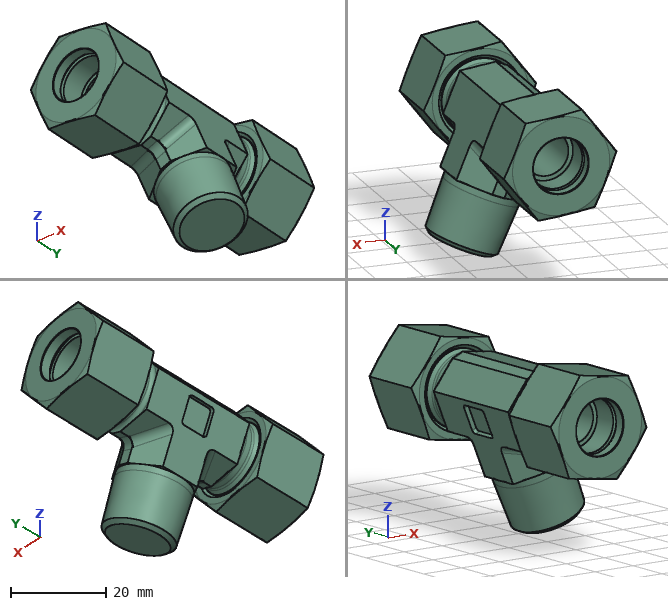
import cadquery as cq
import math

TURN_ANGLE = -22.5

BAR_FLATS = 17.0
BAR_HEIGHT = 18.0
RUN_HALF_LENGTH = 13.0
BRANCH_LENGTH = 14.4
CROTCH_RADIUS = 2.0

BORE_DIA = 10.0
THREAD_DIA = 17.15
THREAD_END = 23.05
NECK_DIA = 15.7
NECK_FILLET = 0.95
NECK_LENGTH = 1.35
RUNOUT_RADIUS = 1.2
RUNOUT_ANGLE = math.radians(30)

STUD_DIA = 17.15
STUD_TIP_DIA = 16.4
STUD_END_DIA = 14.3
STUD_COLLAR_LENGTH = 1.5
STUD_CHAMFER_LENGTH = 0.95
STUD_END = 28.0

RECESS_SIDE = 7.0
RECESS_CORNER_RADIUS = 0.8
RECESS_DEPTH = 1.15

FITTING_LENGTH = 64.0
NUT_FLATS = 22.0
NUT_LENGTH = 15.4
NUT_FACE_DIA = 21.75
NUT_CHAMFER_LENGTH = 0.45
NUT_HOLE_DIA = 12.3
NUT_HOLE_CHAMFER = 0.1
NUT_HOLE_DEPTH = 2.5
MOUTH_DIA = 18.7

TUBE_DIA = 12.0
RING_FACE_DEPTH = 3.3

NUT_OUTER_Y = FITTING_LENGTH / 2
NUT_INNER_Y = NUT_OUTER_Y - NUT_LENGTH
SEAT_END_Y = NUT_OUTER_Y - NUT_HOLE_DEPTH
RING_FACE_Y = NUT_OUTER_Y - RING_FACE_DEPTH
RUN_AXIS = ((0, 0, 0), (0, 1, 0))


def hexagon_corners(flats):
    """Corner-to-corner size of a hexagon."""
    return flats / math.cos(math.pi / 6)


def bar_points():
    """Hexagon with flats on its left and right, top and bottom corners cut flat."""
    flat_x = BAR_FLATS / 2
    side_y = hexagon_corners(BAR_FLATS) / 4
    top_y = BAR_HEIGHT / 2
    top_x = (hexagon_corners(BAR_FLATS) / 2 - top_y) * math.tan(math.pi / 3)
    right_half = [(top_x, -top_y), (flat_x, -side_y), (flat_x, side_y), (top_x, top_y)]
    left_half = [(-x, -y) for x, y in right_half]
    return right_half + left_half


def run_bar(half_length):
    return cq.Workplane("XZ").polyline(bar_points()).close().extrude(half_length, both=True)


def cylinder_along_run(diameter, start_y, end_y):
    return cq.Workplane("XZ", origin=(0, start_y, 0)).circle(diameter / 2).extrude(start_y - end_y)


def mirrored(body):
    """The same body at the -Y end of the run."""
    return body.mirror("XZ")


def tee_bars():
    """Run and branch bars joined, with rounded inner corners between them."""
    branch = cq.Workplane("XY").polyline(bar_points()).close().extrude(-BRANCH_LENGTH)
    bars = run_bar(RUN_HALF_LENGTH).union(branch)
    corner_low = hexagon_corners(BAR_FLATS) / 4
    corner_high = BAR_HEIGHT / 2
    margin = 0.05
    for side in (-1, 1):
        near = side * (corner_low + margin)
        far = side * (corner_high + margin)
        corner_box = cq.selectors.BoxSelector(
            (-BAR_FLATS, near, -corner_low - margin), (BAR_FLATS, far, -corner_high - margin)
        )
        bars = bars.edges(corner_box).fillet(CROTCH_RADIUS)
    return bars


def threaded_end():
    """Neck and thread cylinder at the +Y end, rounded into the end of the run bar."""
    neck_r = NECK_DIA / 2
    thread_r = THREAD_DIA / 2
    fillet_end_y = RUN_HALF_LENGTH + NECK_FILLET
    neck_end_y = fillet_end_y + NECK_LENGTH
    runout_r = neck_r + RUNOUT_RADIUS * (1 - math.cos(RUNOUT_ANGLE))
    runout_y = neck_end_y + RUNOUT_RADIUS * math.sin(RUNOUT_ANGLE)
    runout_mid_r = neck_r + RUNOUT_RADIUS * (1 - math.cos(RUNOUT_ANGLE / 2))
    runout_mid_y = neck_end_y + RUNOUT_RADIUS * math.sin(RUNOUT_ANGLE / 2)
    thread_y = runout_y + (thread_r - runout_r) / math.tan(RUNOUT_ANGLE)
    fillet_mid = NECK_FILLET * (1 - math.sqrt(0.5))
    end = (
        cq.Workplane("XY")
        .moveTo(0, RUN_HALF_LENGTH)
        .lineTo(neck_r + NECK_FILLET, RUN_HALF_LENGTH)
        .threePointArc((neck_r + fillet_mid, RUN_HALF_LENGTH + fillet_mid), (neck_r, fillet_end_y))
        .lineTo(neck_r, neck_end_y)
        .threePointArc((runout_mid_r, runout_mid_y), (runout_r, runout_y))
        .lineTo(thread_r, thread_y)
        .lineTo(thread_r, THREAD_END)
        .lineTo(0, THREAD_END)
        .close()
        .revolve(360, *RUN_AXIS)
    )
    fillet_zone = cylinder_along_run(2 * BAR_FLATS, RUN_HALF_LENGTH, fillet_end_y)
    return end.cut(fillet_zone.cut(run_bar(THREAD_END)))


def stud():
    """Tapered stud below the branch, chamfered at its tip."""
    collar_z = -(BRANCH_LENGTH + STUD_COLLAR_LENGTH)
    tip_z = STUD_CHAMFER_LENGTH - STUD_END
    outline = [
        (0, -BRANCH_LENGTH),
        (STUD_DIA / 2, -BRANCH_LENGTH),
        (STUD_DIA / 2, collar_z),
        (STUD_TIP_DIA / 2, tip_z),
        (STUD_END_DIA / 2, -STUD_END),
        (0, -STUD_END),
    ]
    return cq.Workplane("XZ").polyline(outline).close().revolve(360, (0, 0, 0), (0, 1, 0))


def flat_recess():
    return (
        cq.Workplane("YZ", origin=(-BAR_FLATS / 2, 0, 0))
        .rect(RECESS_SIDE, RECESS_SIDE)
        .extrude(RECESS_DEPTH)
        .edges("|X")
        .fillet(RECESS_CORNER_RADIUS)
    )


def make_tee():
    end = threaded_end()
    tee = tee_bars().union(stud()).union(end).union(mirrored(end))
    tee = tee.cut(flat_recess())
    return tee.cut(cylinder_along_run(BORE_DIA, -THREAD_END, THREAD_END))


def nut_cavity():
    """Bore of the nut at the +Y end: 45 degree mouth, thread hole, 45 degree seat and outer hole."""
    mouth_r = MOUTH_DIA / 2
    thread_r = THREAD_DIA / 2
    hole_r = NUT_HOLE_DIA / 2
    mouth_length = mouth_r - thread_r
    seat_length = thread_r - hole_r
    outline = [
        (0, NUT_INNER_Y),
        (mouth_r, NUT_INNER_Y),
        (thread_r, NUT_INNER_Y + mouth_length),
        (thread_r, SEAT_END_Y - seat_length),
        (hole_r, SEAT_END_Y),
        (hole_r, NUT_OUTER_Y - NUT_HOLE_CHAMFER),
        (hole_r + NUT_HOLE_CHAMFER, NUT_OUTER_Y),
        (0, NUT_OUTER_Y),
    ]
    return cq.Workplane("XY").polyline(outline).close().revolve(360, *RUN_AXIS)


def make_nut():
    """Hexagon nut at the +Y end, both ends chamfered."""
    corner_r = hexagon_corners(NUT_FLATS) / 2
    face_r = NUT_FACE_DIA / 2
    hexagon = (
        cq.Workplane("XZ", origin=(0, NUT_INNER_Y, 0))
        .transformed(rotate=(0, 0, 30))
        .polygon(6, 2 * corner_r)
        .extrude(-NUT_LENGTH)
    )
    chamfer_outline = [
        (0, NUT_INNER_Y),
        (face_r, NUT_INNER_Y),
        (corner_r, NUT_INNER_Y + NUT_CHAMFER_LENGTH),
        (corner_r, NUT_OUTER_Y - NUT_CHAMFER_LENGTH),
        (face_r, NUT_OUTER_Y),
        (0, NUT_OUTER_Y),
    ]
    chamfer_shape = cq.Workplane("XY").polyline(chamfer_outline).close().revolve(360, *RUN_AXIS)
    return hexagon.intersect(chamfer_shape).cut(nut_cavity())


def make_ring():
    """Ring at the +Y end, filling the nut between the tee and the seat of the nut."""
    ring_space = nut_cavity().intersect(cylinder_along_run(2 * THREAD_DIA, THREAD_END, RING_FACE_Y))
    return ring_space.cut(cylinder_along_run(TUBE_DIA, THREAD_END, RING_FACE_Y))


bodies = [make_tee()]
for make_body in (make_nut, make_ring):
    body = make_body()
    bodies += [body, mirrored(body)]

turned_bodies = [body.rotate(*RUN_AXIS, TURN_ANGLE).val() for body in bodies]
result = cq.Compound.makeCompound(turned_bodies)